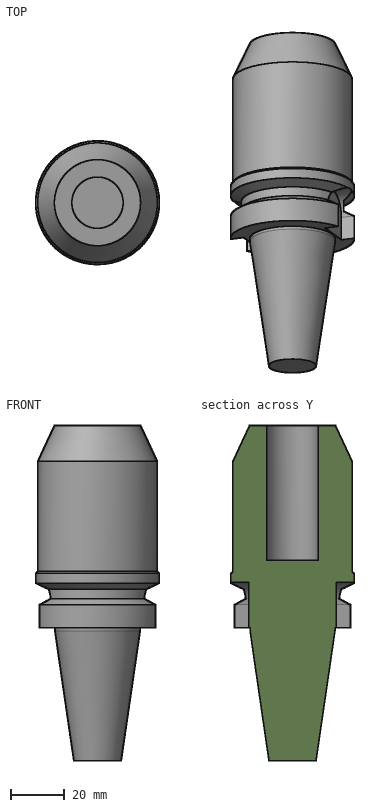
import cadquery as cq
import math


gauge_diameter = 31.75
taper_ratio = 7 / 24
shank_length = 48.4
shank_end_diameter = gauge_diameter - taper_ratio * shank_length

flange_diameter = 46.0
flange_bottom = 1.0
flange_top = 22.0

groove_diameter = 38.1
groove_center = 13.6
groove_mouth_width = 8.0
groove_wall_angle = 30.0
groove_wall_rise = (flange_diameter - groove_diameter) / 2 * math.tan(math.radians(groove_wall_angle))
groove_mouth_low = groove_center - groove_mouth_width / 2
groove_mouth_high = groove_center + groove_mouth_width / 2
groove_floor_low = groove_mouth_low + groove_wall_rise
groove_floor_high = groove_mouth_high - groove_wall_rise

body_diameter = 44.45
flange_chamfer = (flange_diameter - body_diameter) / 2
nose_top = 76.2
nose_diameter = 32.0
nose_half_angle = 25.0
nose_cone_height = (body_diameter - nose_diameter) / 2 / math.tan(math.radians(nose_half_angle))
bore_diameter = 19.05
bore_depth = 50.0

slot_width = 16.1
slot_floor_distance = 16.3
slot_arch_radius = slot_width / 2
slot_top = 17.85
slot_arch_center = slot_top - slot_arch_radius


def make_turned_body():
    """Revolve the outer half profile, given as (radius, height), about Z."""
    profile = [
        (0, -shank_length),
        (shank_end_diameter / 2, -shank_length),
        (gauge_diameter / 2, 0),
        (gauge_diameter / 2, flange_bottom),
        (flange_diameter / 2, flange_bottom),
        (flange_diameter / 2, groove_mouth_low),
        (groove_diameter / 2, groove_floor_low),
        (groove_diameter / 2, groove_floor_high),
        (flange_diameter / 2, groove_mouth_high),
        (flange_diameter / 2, flange_top - flange_chamfer),
        (body_diameter / 2, flange_top),
        (body_diameter / 2, nose_top - nose_cone_height),
        (nose_diameter / 2, nose_top),
        (0, nose_top),
    ]
    return cq.Workplane("XZ").polyline(profile).close().revolve(360, (0, 0, 0), (0, 1, 0))


def make_bore():
    """Blind bore sunk from the nose face."""
    bore_bottom = cq.Workplane("XY").workplane(offset=nose_top - bore_depth)
    return bore_bottom.circle(bore_diameter / 2).extrude(bore_depth)


def make_drive_slot(side):
    """Arched slot with a flat floor, open at the flange bottom; side is -1 or +1 along X."""
    slot_depth = flange_diameter / 2 - slot_floor_distance
    floor_plane = cq.Workplane("YZ").workplane(offset=side * slot_floor_distance)
    outline = (
        floor_plane.moveTo(-slot_width / 2, flange_bottom)
        .lineTo(slot_width / 2, flange_bottom)
        .lineTo(slot_width / 2, slot_arch_center)
        .threePointArc((0, slot_top), (-slot_width / 2, slot_arch_center))
        .close()
    )
    return outline.extrude(side * slot_depth)


result = make_turned_body().cut(make_bore())
for side in (-1, 1):
    result = result.cut(make_drive_slot(side))